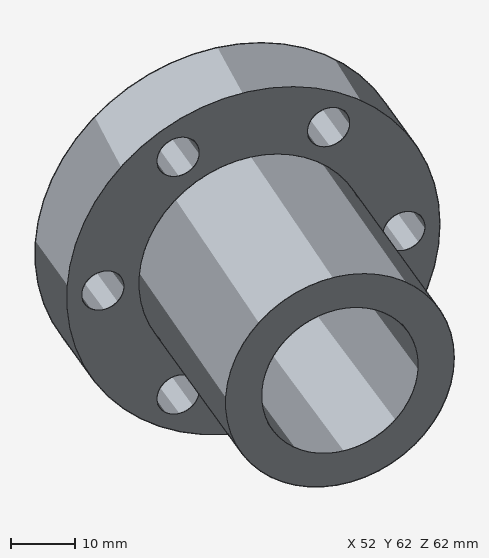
import cadquery as cq

flange_diameter = 62.0
flange_thickness = 14.0
sleeve_diameter = 38.0
total_length = 52.0

bore_diameter = 26.0
bolt_hole_diameter = 7.0
bolt_circle_diameter = 50.0
bolt_count = 6


def cylinder_along_x(diameter, length):
    """Solid cylinder about the X axis, starting at the flange face X = 0."""
    return cq.Workplane("YZ").circle(diameter / 2).extrude(length)


flange = cylinder_along_x(flange_diameter, flange_thickness)
sleeve = cylinder_along_x(sleeve_diameter, total_length)

bore = cylinder_along_x(bore_diameter, total_length)

bolt_holes = (
    cq.Workplane("YZ")
    .polarArray(bolt_circle_diameter / 2, 0, 360, bolt_count)
    .circle(bolt_hole_diameter / 2)
    .extrude(flange_thickness)
)

result = flange.union(sleeve).cut(bore).cut(bolt_holes)